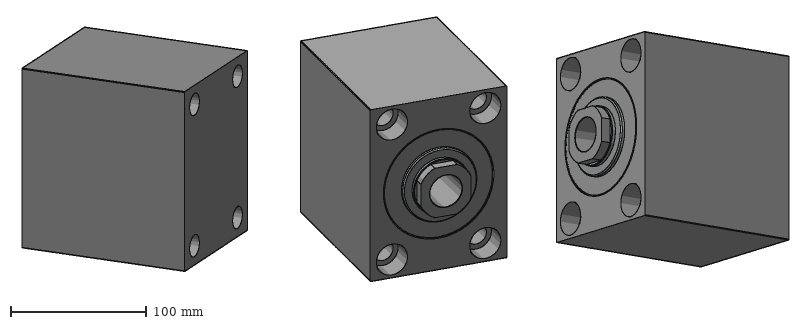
import cadquery as cq
import math

OVERALL_LENGTH = 147.0
HOUSING_WIDTH = 110.0
HOUSING_HEIGHT = 140.0
ROD_REACH = 14.1
HOUSING_LENGTH = OVERALL_LENGTH - ROD_REACH
LONG_EDGE_CHAMFER = 0.6

MOUNT_SPACING_Y = 75.0
MOUNT_SPACING_Z = 110.0
MOUNT_HOLE_DIAMETER = 16.9
COUNTERBORE_DIAMETER = 25.0
COUNTERBORE_DEPTH = 18.0

BORE_DIAMETER = 87.0
BORE_DEPTH = 50.0
BORE_CHAMFER = 0.9

COLLAR_DIAMETER = 59.7
COLLAR_HEIGHT = 3.2
COLLAR_CHAMFER = 1.0

ROD_DIAMETER = 45.3
ROD_CHAMFER = 0.6
NOSE_LENGTH = 7.6
NOSE_DIAMETER = ROD_DIAMETER - 2 * ROD_CHAMFER
NOSE_ACROSS_FLATS = 40.3
SOCKET_DIAMETER = 25.9
SOCKET_CHAMFER = 0.3
SOCKET_DEPTH = 39.7
DRILL_POINT_ANGLE = 118.0


def cylinder_x(start, end, diameter):
    """Cylinder about the X axis from X = start to X = end."""
    return cq.Workplane("YZ", origin=(start, 0, 0)).circle(diameter / 2).extrude(end - start)


def make_housing():
    block = cq.Workplane("YZ").rect(HOUSING_WIDTH, HOUSING_HEIGHT).extrude(HOUSING_LENGTH)
    block = block.edges("|X").chamfer(LONG_EDGE_CHAMFER)
    block = block.cut(cylinder_x(0, BORE_DEPTH, BORE_DIAMETER))
    block = block.faces("<X").edges("%CIRCLE").chamfer(BORE_CHAMFER)
    return (
        block.faces("<X")
        .workplane(origin=(0, 0, 0))
        .rect(MOUNT_SPACING_Y, MOUNT_SPACING_Z, forConstruction=True)
        .vertices()
        .cboreHole(MOUNT_HOLE_DIAMETER, COUNTERBORE_DIAMETER, COUNTERBORE_DEPTH)
    )


def make_gland():
    collar = cylinder_x(-COLLAR_HEIGHT, 0, COLLAR_DIAMETER).faces("<X").chamfer(COLLAR_CHAMFER)
    body = cylinder_x(0, BORE_DEPTH, BORE_DIAMETER)
    return body.union(collar).cut(cylinder_x(-COLLAR_HEIGHT, BORE_DEPTH, ROD_DIAMETER))


def make_socket():
    """Drilled blind hole in the rod nose, with a chamfered mouth and a conical bottom."""
    radius = SOCKET_DIAMETER / 2
    mouth_radius = radius + SOCKET_CHAMFER
    cone_depth = radius / math.tan(math.radians(DRILL_POINT_ANGLE / 2))
    cone_start = SOCKET_DEPTH - ROD_REACH
    return (
        cq.Workplane("XY")
        .moveTo(-ROD_REACH, 0)
        .lineTo(-ROD_REACH, mouth_radius)
        .lineTo(-ROD_REACH + SOCKET_CHAMFER, radius)
        .lineTo(cone_start, radius)
        .lineTo(cone_start + cone_depth, 0)
        .close()
        .revolve(360, (0, 0, 0), (1, 0, 0))
    )


def make_rod():
    shoulder = NOSE_LENGTH - ROD_REACH
    shank = cylinder_x(shoulder, BORE_DEPTH, ROD_DIAMETER).faces("<X").chamfer(ROD_CHAMFER)
    flats = (
        cq.Workplane("YZ", origin=(-ROD_REACH, 0, 0))
        .rect(NOSE_ACROSS_FLATS, NOSE_ACROSS_FLATS)
        .extrude(NOSE_LENGTH)
    )
    nose = cylinder_x(-ROD_REACH, shoulder, NOSE_DIAMETER).intersect(flats)
    return shank.union(nose).cut(make_socket())


housing = make_housing()
gland = make_gland()
rod = make_rod()

result = cq.Compound.makeCompound([housing.val(), gland.val(), rod.val()])